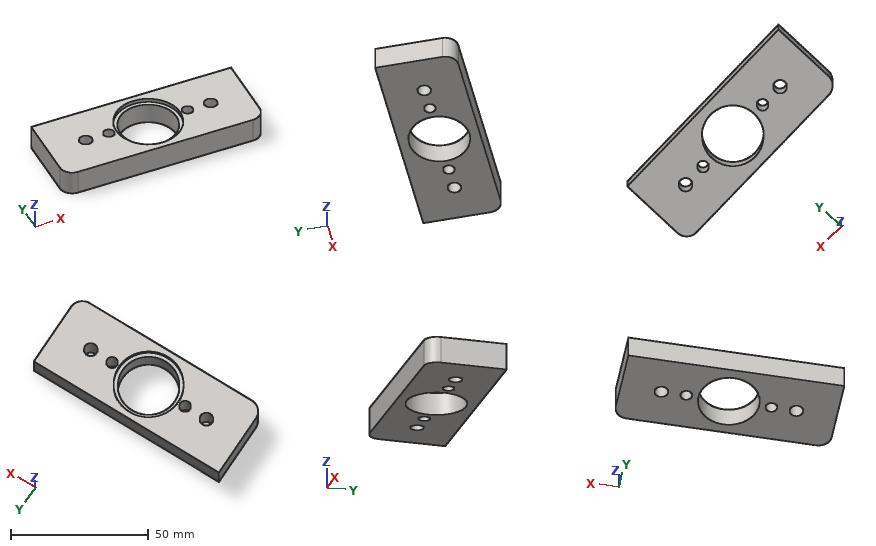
import cadquery as cq

length = 80
width = 30.0
thickness = 10.0
corner_radius = 5.0

bore_diameter = 22.5
recess_diameter = 25.5
recess_depth = 1.5

inner_hole_diameter = 4.2
inner_hole_spacing = 31.5
outer_hole_diameter = 5.0
outer_hole_spacing = 50.0


def hole_pair(body, diameter, spacing):
    """Drill two through holes placed symmetrically about the bore."""
    centers = [(-spacing / 2, 0), (spacing / 2, 0)]
    return body.faces(">Z").workplane(origin=(0, 0, 0)).pushPoints(centers).hole(diameter)


plate = cq.Workplane("XY").box(length, width, thickness, centered=(True, True, False))
plate = plate.edges("|Z and <Y").fillet(corner_radius)

plate = plate.faces(">Z").workplane(origin=(0, 0, 0)).cboreHole(
    bore_diameter, recess_diameter, recess_depth
)

plate = hole_pair(plate, inner_hole_diameter, inner_hole_spacing)
plate = hole_pair(plate, outer_hole_diameter, outer_hole_spacing)

result = plate